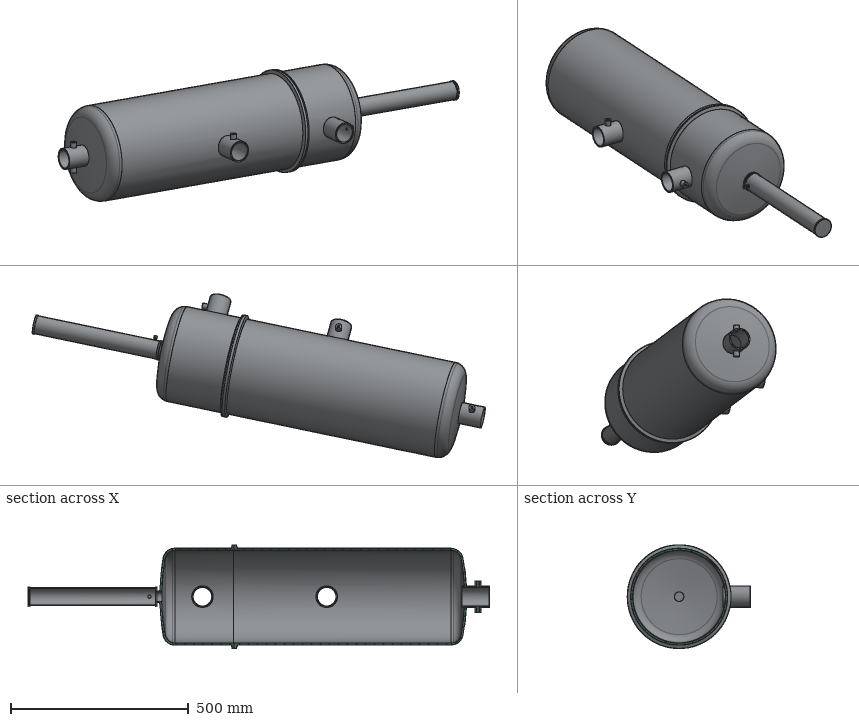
import cadquery as cq
import math


shell_radius = 273.05 / 2
wall = 6.35
head_start = 63.5
vessel_length = 863.6
crown_radius = 600.0
crown_edge_radius = 108.0
knuckle_depth = 36.0
skirt_length = 7.8
skirt_taper = 0.9

flange_radius = 292.1 / 2
joint_y = 719.0
lower_flange_thickness = 7.8
upper_flange_thickness = 3.8
flange_taper_length = 3.4

nozzle_radius = 60.3 / 2
nozzle_bore_radius = 52.5 / 2
nozzle_tip_x = 200.15
nozzle_overlap = 12.7
lower_nozzle_y = 457.2
upper_nozzle_y = 806.5
coupling_setback = 31.75
coupling_radius = 8.5
coupling_bore_radius = 3.0
coupling_tip = 44.5

neck_radius = 33.4 / 2
neck_bore_radius = 26.6 / 2
tube_start = 934.0
tube_end = 1296.38
tube_radius = 26.0
tube_wall = 3.0
cap_radius = 27.5
cap_thickness = 5.0

fitting_y = 955.5
fitting_base_radius = 4.5
fitting_base_tip = 28.5
fitting_stem_radius = 1.5
fitting_stem_tip = 35.0
fitting_knob_radius = 4.5
fitting_tip = 41.5

crown_angle = math.asin(crown_edge_radius / crown_radius)
crown_edge_depth = crown_radius * (1 - math.cos(crown_angle))
skirt_radius = shell_radius - skirt_taper
knuckle_span_out = skirt_radius - crown_edge_radius
knuckle_span_deep = knuckle_depth - crown_edge_depth
knuckle_radius = (knuckle_span_out**2 + knuckle_span_deep**2) / (
    2 * (knuckle_span_deep * math.cos(crown_angle) - knuckle_span_out * math.sin(crown_angle))
)
knuckle_center_radius = crown_edge_radius - knuckle_radius * math.sin(crown_angle)
knuckle_center_depth = crown_edge_depth + knuckle_radius * math.cos(crown_angle)
head_length = knuckle_depth + skirt_length

vessel_end = head_start + vessel_length
lower_shell_start = head_start + head_length
upper_shell_end = vessel_end - head_length


def rod(start, direction, length, radius):
    """Solid cylinder from a start point along a direction."""
    cylinder = cq.Solid.makeCylinder(radius, length, cq.Vector(*start), cq.Vector(*direction))
    return cq.Workplane(obj=cylinder)


def axial_rod(y_start, y_end, radius):
    """Solid cylinder on the vessel axis."""
    return rod((0, y_start, 0), (0, 1, 0), y_end - y_start, radius)


def dome(offset):
    """Filled head outline with its apex at Y = offset, moved inwards by offset all round."""
    crown = crown_radius - offset
    knuckle = knuckle_radius - offset
    end_angle = math.asin((skirt_radius - offset - knuckle_center_radius) / knuckle)

    def on_crown(angle):
        return (crown * math.sin(angle), crown_radius - crown * math.cos(angle))

    def on_knuckle(angle):
        return (
            knuckle_center_radius + knuckle * math.sin(angle),
            knuckle_center_depth - knuckle * math.cos(angle),
        )

    return (
        cq.Workplane("XY")
        .moveTo(0, offset)
        .threePointArc(on_crown(crown_angle / 2), on_crown(crown_angle))
        .threePointArc(on_knuckle((crown_angle + end_angle) / 2), on_knuckle(end_angle))
        .lineTo(shell_radius - offset, head_length)
        .lineTo(0, head_length)
        .close()
        .revolve(360, (0, 0, 0), (0, 1, 0))
    )


def head():
    """Hollow head with its apex at the origin, opening towards +Y."""
    return dome(0).cut(dome(wall))


def with_nozzle(body, root, tip, coupling_directions):
    """Add a nozzle from root (inside the vessel) to tip, its couplings, and all their bores."""
    reach = cq.Vector(*tip) - cq.Vector(*root)
    axis = reach.normalized()
    coupling_root = (cq.Vector(*tip) - axis * coupling_setback).toTuple()

    body = body.union(rod(root, axis.toTuple(), reach.Length, nozzle_radius))
    for direction in coupling_directions:
        body = body.union(rod(coupling_root, direction, coupling_tip, coupling_radius))
    for direction in coupling_directions:
        body = body.cut(rod(coupling_root, direction, coupling_tip, coupling_bore_radius))
    return body.cut(rod(root, axis.toTuple(), reach.Length, nozzle_bore_radius))


def make_bottom_head():
    body = head().translate((0, head_start, 0))
    root = (0, head_start + nozzle_overlap, 0)
    return with_nozzle(body, root, (0, 0, 0), [(0, 0, 1), (0, 0, -1)])


def flange(thickness):
    """Flange with its mating face at Y = 0, tapering down to the shell towards +Y."""
    return (
        cq.Workplane("XY")
        .moveTo(0, 0)
        .lineTo(flange_radius, 0)
        .lineTo(flange_radius, thickness)
        .lineTo(shell_radius, thickness + flange_taper_length)
        .lineTo(0, thickness + flange_taper_length)
        .close()
        .revolve(360, (0, 0, 0), (0, 1, 0))
    )


def hollow_shell(y_start, y_end, shell_flange):
    """Open cylinder with its flange."""
    body = axial_rod(y_start, y_end, shell_radius).union(shell_flange)
    return body.cut(axial_rod(y_start, y_end, shell_radius - wall))


def with_side_nozzle(body, nozzle_y, coupling_direction):
    """Add a nozzle on +X with one coupling."""
    root = (shell_radius - nozzle_overlap, nozzle_y, 0)
    tip = (nozzle_tip_x, nozzle_y, 0)
    return with_nozzle(body, root, tip, [coupling_direction])


def make_lower_shell():
    lower_flange = flange(lower_flange_thickness).rotate((0, 0, 0), (0, 0, 1), 180)
    lower_flange = lower_flange.translate((0, joint_y, 0))
    body = hollow_shell(lower_shell_start, joint_y, lower_flange)
    return with_side_nozzle(body, lower_nozzle_y, (0, 0, 1))


def make_upper_shell():
    upper_flange = flange(upper_flange_thickness).translate((0, joint_y, 0))
    body = hollow_shell(joint_y, upper_shell_end, upper_flange)
    return with_side_nozzle(body, upper_nozzle_y, (0, 1, 0))


def make_top_head():
    body = head().rotate((0, 0, 0), (0, 0, 1), 180).translate((0, vessel_end, 0))
    body = body.union(axial_rod(vessel_end - wall, tube_start, neck_radius))
    return body.cut(axial_rod(vessel_end - 2 * wall, tube_start, neck_bore_radius))


def make_level_tube():
    body = axial_rod(tube_start, tube_end, tube_radius)
    for cap_start in (tube_start, tube_end - cap_thickness):
        body = body.union(axial_rod(cap_start, cap_start + cap_thickness, cap_radius))
    bore = axial_rod(tube_start + cap_thickness, tube_end - cap_thickness, tube_radius - tube_wall)
    body = body.cut(bore)
    return body.cut(axial_rod(tube_start, tube_start + cap_thickness, neck_bore_radius))


def make_fitting():
    """Base, thin stem and knob in a row along +X, rooted in the tube wall."""
    root_x = tube_radius - tube_wall / 2

    def step(x_start, x_end, radius):
        return rod((x_start, fitting_y, 0), (1, 0, 0), x_end - x_start, radius)

    base = step(root_x, fitting_base_tip, fitting_base_radius)
    stem = step(root_x, fitting_tip, fitting_stem_radius)
    knob = step(fitting_stem_tip, fitting_tip, fitting_knob_radius)
    return base.union(stem).union(knob)


bottom_head = make_bottom_head()
lower_shell = make_lower_shell()
upper_shell = make_upper_shell()
top_head = make_top_head()
fitting = make_fitting()
level_tube = make_level_tube().cut(fitting)

result = cq.Compound.makeCompound(
    [b.val() for b in (bottom_head, lower_shell, upper_shell, top_head, level_tube, fitting)]
)